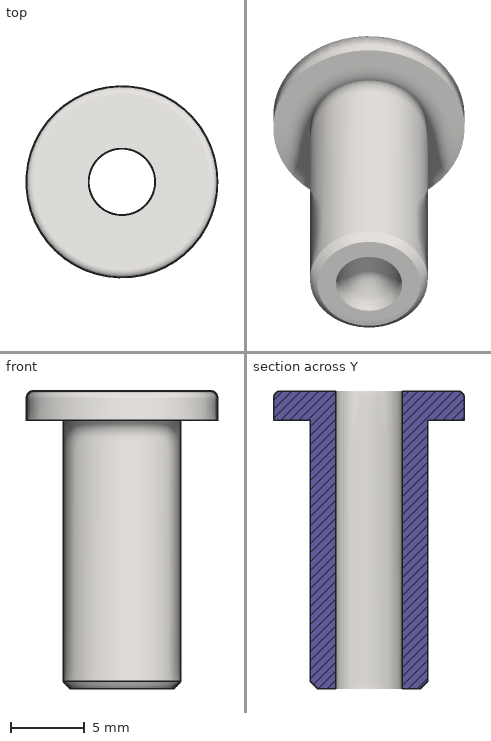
import cadquery as cq

total_height = 20.25
head_diameter = 13.0
head_thickness = 2.0
shank_diameter = 8.0
bore_diameter = 4.5
head_edge_radius = 0.5
tip_chamfer = 0.5

shank_length = total_height - head_thickness

shank = (
    cq.Workplane("XY")
    .circle(shank_diameter / 2)
    .extrude(shank_length)
    .faces("<Z")
    .chamfer(tip_chamfer)
)

head = (
    cq.Workplane("XY")
    .workplane(offset=shank_length)
    .circle(head_diameter / 2)
    .extrude(head_thickness)
    .faces(">Z")
    .edges()
    .fillet(head_edge_radius)
)

bore = cq.Workplane("XY").circle(bore_diameter / 2).extrude(total_height)

result = shank.union(head).cut(bore)